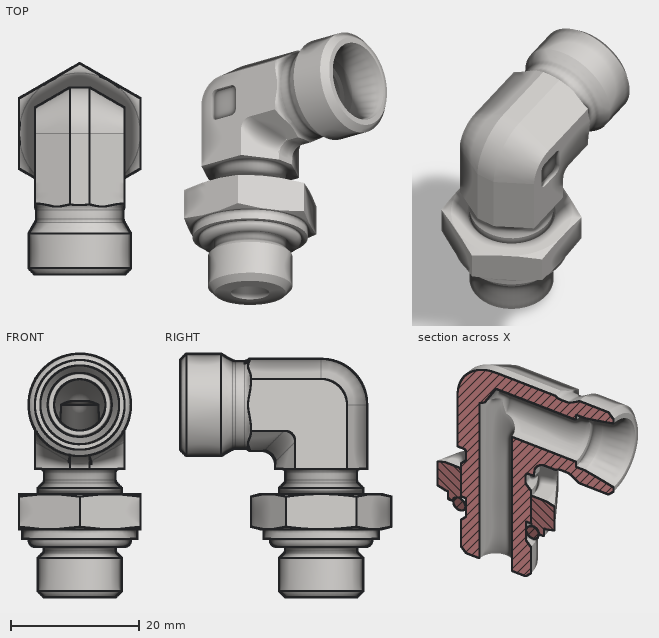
import cadquery as cq
import math


BODY_FLATS = 14.0
BODY_HALF_HEIGHT = 7.2
INNER_BEND_RADIUS = 2.0
STUD_SHOULDER = 10.0

MARK_SIZE = 5.0
MARK_CORNER_RADIUS = 1.0
MARK_DEPTH = 0.8
MARK_CENTRE = -0.5

PORT_END = 22.0
PORT_RADIUS = 16.0 / 2
PORT_NECK_RADIUS = 13.7 / 2
PORT_CHAMFER = 1.0
PORT_CYLINDER_START = 15.6
PORT_CONE_ANGLE = math.radians(30)
PORT_CONE_FILLET = 1.0
PORT_NECK_START = 11.93
PORT_FLARE_RADIUS = 1.0

MOUTH_RADIUS = 12.3 / 2
MOUTH_HALF_ANGLE = math.radians(12)
TUBE_RADIUS = 10.0 / 2
TUBE_DEPTH = 7.0
PORT_BORE_RADIUS = 8.0 / 2

STUD_END = 30.0
THREAD_RADIUS = 13.16 / 2
STUD_CHAMFER = 1.0
STUD_CONE_ANGLE = math.radians(45)
UPPER_NECK_RADIUS = 11.2 / 2
UPPER_THREAD_START = 13.0
UPPER_CONE_FILLET = 0.65
SHOULDER_FILLET = 0.45
LOWER_NECK_RADIUS = 11.3 / 2
LOWER_THREAD_START = 23.9
LOWER_CONE_FILLET = 0.4
STUD_BORE_RADIUS = 6.0 / 2

DRILL_POINT_HALF_ANGLE = math.radians(59)

NUT_FLATS = 19.0
NUT_TOP = 13.9
NUT_HEX_HEIGHT = 5.5
NUT_CHAMFER_ANGLE = math.radians(15)
NUT_FACE_RADIUS = 18.9 / 2
NUT_COUNTERSINK_RADIUS = 13.7 / 2
COLLAR_RADIUS = 18.0 / 2
COLLAR_HEIGHT = 1.5

SEAL_OUTER_RADIUS = 16.0 / 2
SEAL_STANDOFF = 0.1

TOLERANCE = 1e-4

NUT_HEX_END = NUT_TOP + NUT_HEX_HEIGHT
NUT_END = NUT_HEX_END + COLLAR_HEIGHT


def along_port(shape):
    """Turn a shape built along +Z so that it points along -Y."""
    return shape.rotate((0, 0, 0), (1, 0, 0), 90)


def along_stud(shape):
    """Turn a shape built along +Z so that it points along -Z."""
    return shape.rotate((0, 0, 0), (1, 0, 0), 180)


def turned(profile):
    """Revolve a closed profile, drawn as (radius, axial position), about Z."""
    return profile.close().revolve(360, (0, 0, 0), (0, 1, 0))


def neck_and_cone(outline, neck_radius, end_radius, cone_end, cone_angle, fillet_radius):
    """Continue an outline along a neck, then through a filleted cone up to a larger radius."""
    rise = fillet_radius * (1 - math.cos(cone_angle))
    fillet_start = (
        cone_end
        - (end_radius - neck_radius - rise) / math.tan(cone_angle)
        - fillet_radius * math.sin(cone_angle)
    )

    def fillet_point(angle):
        return (
            neck_radius + fillet_radius * (1 - math.cos(angle)),
            fillet_start + fillet_radius * math.sin(angle),
        )

    return (
        outline.lineTo(neck_radius, fillet_start)
        .threePointArc(fillet_point(cone_angle / 2), fillet_point(cone_angle))
        .lineTo(end_radius, cone_end)
    )


def flared_start(neck_radius, neck_start, flare_radius):
    """Start an outline on the axis and run down a concave quarter arc onto a neck."""
    arc_offset = flare_radius * (1 - math.sqrt(0.5))
    face = neck_start - flare_radius
    return (
        cq.Workplane("XZ")
        .moveTo(0, face)
        .lineTo(neck_radius + flare_radius, face)
        .threePointArc((neck_radius + arc_offset, face + arc_offset), (neck_radius, neck_start))
    )


def drill_tip(radius):
    """Length of the conical point that a drill leaves at the end of a bore."""
    return radius / math.tan(DRILL_POINT_HALF_ANGLE)


def hexagon(flats, height):
    """Hexagonal prism along +Z with flats facing +/-X."""
    corner_diameter = flats / math.cos(math.radians(30))
    return cq.Workplane("XY").transformed(rotate=(0, 0, 30)).polygon(6, corner_diameter).extrude(height)


def body_limb(length):
    """Straight body limb along +Z: hexagonal prism with the two Y corners cut flat."""
    trim = cq.Workplane("XY").rect(2 * BODY_FLATS, 2 * BODY_HALF_HEIGHT).extrude(length)
    return hexagon(BODY_FLATS, length).intersect(trim)


def outer_bend():
    """Half of the limb section swept a quarter turn about X, rounding the outside of the elbow."""
    half_side = BODY_FLATS / 2 * math.tan(math.radians(30))
    corner_radius = BODY_FLATS / 2 / math.cos(math.radians(30))
    half_flat = (corner_radius - BODY_HALF_HEIGHT) / math.tan(math.radians(30))
    section = (
        cq.Workplane("XY")
        .moveTo(-BODY_FLATS / 2, 0)
        .lineTo(-BODY_FLATS / 2, half_side)
        .lineTo(-half_flat, BODY_HALF_HEIGHT)
        .lineTo(half_flat, BODY_HALF_HEIGHT)
        .lineTo(BODY_FLATS / 2, half_side)
        .lineTo(BODY_FLATS / 2, 0)
        .close()
    )
    return section.revolve(90, (0, 0, 0), (1, 0, 0))


def is_inner_mitre(edge):
    """True for the mitre edges of the inside corner: in the plane Y = Z, on the -Y side."""
    start = edge.startPoint()
    end = edge.endPoint()
    on_mitre = max(abs(start.y - start.z), abs(end.y - end.z)) < TOLERANCE
    return on_mitre and edge.Center().y < -TOLERANCE


def elbow_body():
    """Two limbs joined by the outer bend, with the inside corner filleted."""
    port_limb_length = PORT_NECK_START - PORT_FLARE_RADIUS
    body = along_port(body_limb(port_limb_length)).union(along_stud(body_limb(STUD_SHOULDER)))
    body = body.union(outer_bend())
    mitre_edges = [edge for edge in body.edges().vals() if is_inner_mitre(edge)]
    return body.newObject(mitre_edges).fillet(INNER_BEND_RADIUS)


def port():
    """Tube port with its neck; the flare is trimmed to the body hexagon."""
    flare = turned(
        flared_start(PORT_NECK_RADIUS, PORT_NECK_START, PORT_FLARE_RADIUS).lineTo(0, PORT_NECK_START)
    ).intersect(body_limb(PORT_NECK_START))
    outline = cq.Workplane("XZ").moveTo(0, PORT_NECK_START).lineTo(PORT_NECK_RADIUS, PORT_NECK_START)
    outline = neck_and_cone(
        outline, PORT_NECK_RADIUS, PORT_RADIUS, PORT_CYLINDER_START, PORT_CONE_ANGLE, PORT_CONE_FILLET
    )
    barrel = turned(
        outline.lineTo(PORT_RADIUS, PORT_END - PORT_CHAMFER)
        .lineTo(PORT_RADIUS - PORT_CHAMFER, PORT_END)
        .lineTo(0, PORT_END)
    )
    return along_port(flare.union(barrel))


def stud():
    """Threaded stud with an upper neck below the body and a lower neck that carries the seal."""
    outline = flared_start(UPPER_NECK_RADIUS, STUD_SHOULDER + SHOULDER_FILLET, SHOULDER_FILLET)
    outline = neck_and_cone(
        outline, UPPER_NECK_RADIUS, THREAD_RADIUS, UPPER_THREAD_START, STUD_CONE_ANGLE, UPPER_CONE_FILLET
    )
    outline = outline.lineTo(THREAD_RADIUS, NUT_HEX_END).lineTo(LOWER_NECK_RADIUS, NUT_HEX_END)
    outline = neck_and_cone(
        outline, LOWER_NECK_RADIUS, THREAD_RADIUS, LOWER_THREAD_START, STUD_CONE_ANGLE, LOWER_CONE_FILLET
    )
    return along_stud(
        turned(
            outline.lineTo(THREAD_RADIUS, STUD_END - STUD_CHAMFER)
            .lineTo(THREAD_RADIUS - STUD_CHAMFER, STUD_END)
            .lineTo(0, STUD_END)
        )
    )


def port_bore():
    """Conical mouth, tube socket and bore, ending in a drill point behind the origin."""
    cone_depth = (MOUTH_RADIUS - TUBE_RADIUS) / math.tan(MOUTH_HALF_ANGLE)
    return along_port(
        turned(
            cq.Workplane("XZ")
            .moveTo(0, -drill_tip(PORT_BORE_RADIUS))
            .lineTo(PORT_BORE_RADIUS, 0)
            .lineTo(PORT_BORE_RADIUS, PORT_END - TUBE_DEPTH)
            .lineTo(TUBE_RADIUS, PORT_END - TUBE_DEPTH)
            .lineTo(TUBE_RADIUS, PORT_END - cone_depth)
            .lineTo(MOUTH_RADIUS, PORT_END)
            .lineTo(0, PORT_END)
        )
    )


def stud_bore():
    """Bore up through the stud, ending in a drill point above the origin."""
    return along_stud(
        turned(
            cq.Workplane("XZ")
            .moveTo(0, -drill_tip(STUD_BORE_RADIUS))
            .lineTo(STUD_BORE_RADIUS, 0)
            .lineTo(STUD_BORE_RADIUS, STUD_END)
            .lineTo(0, STUD_END)
        )
    )


def mark_recess():
    """Rounded square recess in the -X side of the body."""
    recess = cq.Workplane("XY").rect(MARK_SIZE, MARK_SIZE).extrude(MARK_DEPTH)
    recess = recess.edges("|Z").fillet(MARK_CORNER_RADIUS)
    recess = recess.rotate((0, 0, 0), (0, 1, 0), 90)
    return recess.translate((-BODY_FLATS / 2, MARK_CENTRE, MARK_CENTRE))


def make_elbow():
    """Elbow body with its port and stud, bored through."""
    blank = elbow_body().union(port()).union(stud())
    return blank.cut(port_bore()).cut(stud_bore()).cut(mark_recess())


def make_seal():
    """Torus that fits around the lower neck, its centre just clear of the collar face."""
    tube_radius = (SEAL_OUTER_RADIUS - LOWER_NECK_RADIUS) / 2
    ring_radius = SEAL_OUTER_RADIUS - tube_radius
    section = cq.Workplane("XZ").center(ring_radius, NUT_END + SEAL_STANDOFF).circle(tube_radius)
    return along_stud(section.revolve(360, (-ring_radius, 0, 0), (-ring_radius, 1, 0)))


def make_nut(seal):
    """Chamfered hexagon nut, countersunk on top, with a round collar that seats the seal."""
    rim_radius = NUT_FLATS
    chamfer_drop = (rim_radius - NUT_FACE_RADIUS) * math.tan(NUT_CHAMFER_ANGLE)
    chamfer_envelope = turned(
        cq.Workplane("XZ")
        .moveTo(0, 0)
        .lineTo(NUT_FACE_RADIUS, 0)
        .lineTo(rim_radius, chamfer_drop)
        .lineTo(rim_radius, NUT_HEX_HEIGHT - chamfer_drop)
        .lineTo(NUT_FACE_RADIUS, NUT_HEX_HEIGHT)
        .lineTo(0, NUT_HEX_HEIGHT)
    )
    hex_part = hexagon(NUT_FLATS, NUT_HEX_HEIGHT).intersect(chamfer_envelope)
    collar = cq.Workplane("XY").circle(COLLAR_RADIUS).extrude(NUT_HEX_HEIGHT + COLLAR_HEIGHT)
    bore = cq.Workplane("XY").circle(THREAD_RADIUS).extrude(NUT_HEX_HEIGHT + COLLAR_HEIGHT)
    countersink_depth = NUT_COUNTERSINK_RADIUS - THREAD_RADIUS
    countersink = turned(
        cq.Workplane("XZ")
        .moveTo(0, 0)
        .lineTo(NUT_COUNTERSINK_RADIUS, 0)
        .lineTo(THREAD_RADIUS, countersink_depth)
        .lineTo(0, countersink_depth)
    )
    nut = hex_part.union(collar).cut(bore).cut(countersink)
    return along_stud(nut.translate((0, 0, NUT_TOP))).cut(seal)


elbow = make_elbow()
seal = make_seal()
nut = make_nut(seal)

result = cq.Compound.makeCompound([elbow.solids().val(), nut.solids().val(), seal.val()])